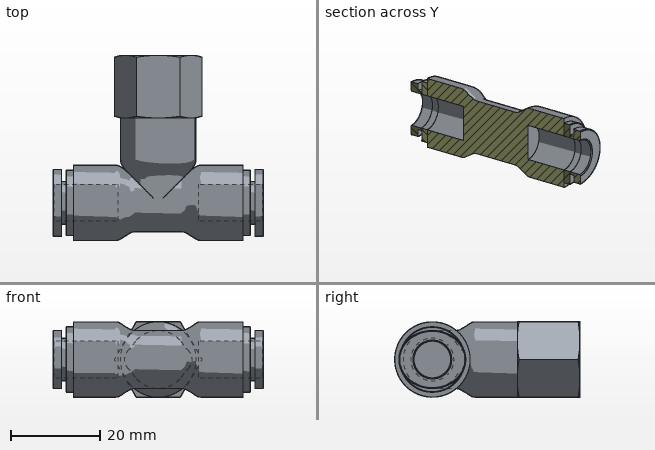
import cadquery as cq
import math


barrel_dia = 16.9
neck_dia = 13.0
barrel_end = 19.0
taper_angle = 32.0
taper_start = 9.0
taper_blend = 2.0
tube_bore_dia = 8.2
tube_stop = taper_start

hex_across_flats = 17.0
hex_length = 14.0
hex_chamfer_angle = 17.0

ring_dia = 14.7
ring_length = 1.65
ring_chamfer = 0.15

collar_neck_dia = 9.6
collar_neck_length = 0.95
collar_head_width = 15.0
collar_head_height = 13.0
collar_head_length = 2.0
collar_head_chamfer = 0.2
collar_bore_chamfer = 0.25

ring_face = barrel_end + ring_length
head_base = ring_face + collar_neck_length
run_end = head_base + collar_head_length
run_sides = (-1, 1)


def cylinder_along_x(dia, start, length):
    return cq.Workplane("YZ", origin=(start, 0, 0)).circle(dia / 2).extrude(length)


def mirrored_to(side, shape):
    """Return a shape built on the +X side, mirrored when it belongs on the -X side."""
    return shape if side > 0 else shape.mirror("YZ")


def make_arm():
    """Revolve one arm along +X: neck, rounded taper and barrel."""
    barrel_radius = barrel_dia / 2
    neck_radius = neck_dia / 2
    angle = math.radians(taper_angle)
    taper_end = taper_start - (barrel_radius - neck_radius) / math.tan(angle)
    setback = taper_blend * math.tan(angle / 2)
    along = setback * math.cos(angle)
    across = setback * math.sin(angle)
    profile = (
        cq.Workplane("XY")
        .lineTo(0, neck_radius)
        .lineTo(taper_end - setback, neck_radius)
        .tangentArcPoint((taper_end + along, neck_radius + across), relative=False)
        .lineTo(taper_start - along, barrel_radius - across)
        .tangentArcPoint((taper_start + setback, barrel_radius), relative=False)
        .lineTo(barrel_end, barrel_radius)
        .lineTo(barrel_end, 0)
        .close()
    )
    return profile.revolve(360, (0, 0, 0), (1, 0, 0))


def make_tee():
    """Join two run arms and the branch arm, then sink the blind tube bores."""
    arm = make_arm()
    branch = arm.rotate((0, 0, 0), (0, 0, 1), 90)
    tee = arm.union(arm.mirror("YZ")).union(branch)
    bore = cylinder_along_x(tube_bore_dia, tube_stop, barrel_end - tube_stop)
    for side in run_sides:
        tee = tee.cut(mirrored_to(side, bore))
    return tee


def make_hex_nut():
    """Build the nut with flats facing +Z and -Z and conical chamfers on both end faces."""
    flat_radius = hex_across_flats / 2
    corner_radius = flat_radius / math.cos(math.pi / 6)
    chamfer_depth = (corner_radius - flat_radius) * math.tan(math.radians(hex_chamfer_angle))
    prism = (
        cq.Workplane("XZ", origin=(0, barrel_end, 0))
        .polygon(6, 2 * corner_radius)
        .extrude(-hex_length)
    )
    envelope = (
        cq.Workplane("XY", origin=(0, barrel_end, 0))
        .lineTo(flat_radius, 0)
        .lineTo(corner_radius, chamfer_depth)
        .lineTo(corner_radius, hex_length - chamfer_depth)
        .lineTo(flat_radius, hex_length)
        .lineTo(0, hex_length)
        .close()
        .revolve(360, (0, 0, 0), (0, 1, 0))
    )
    return prism.intersect(envelope)


def make_ring():
    """Build the retaining ring seated on the +X barrel face."""
    blank = cylinder_along_x(ring_dia, barrel_end, ring_length)
    blank = blank.faces(">X").edges().chamfer(ring_chamfer)
    return blank.cut(cylinder_along_x(tube_bore_dia, barrel_end, ring_length))


def make_collar():
    """Build the release collar standing on the +X retaining ring."""
    neck = cylinder_along_x(collar_neck_dia, ring_face, collar_neck_length)
    head = (
        cq.Workplane("YZ", origin=(head_base, 0, 0))
        .ellipse(collar_head_width / 2, collar_head_height / 2)
        .extrude(collar_head_length)
        .faces(">X")
        .edges()
        .chamfer(collar_head_chamfer)
    )
    bore = cylinder_along_x(tube_bore_dia, ring_face, run_end - ring_face)
    collar = neck.union(head).cut(bore)
    bore_rim = collar.faces(">X").edges("%CIRCLE")
    return bore_rim.chamfer(collar_bore_chamfer)


tee = make_tee()
hex_nut = make_hex_nut()
ring = make_ring()
collar = make_collar()
rings = [mirrored_to(side, ring).val() for side in run_sides]
collars = [mirrored_to(side, collar).val() for side in run_sides]

result = cq.Compound.makeCompound([tee.val(), hex_nut.val(), *rings, *collars])